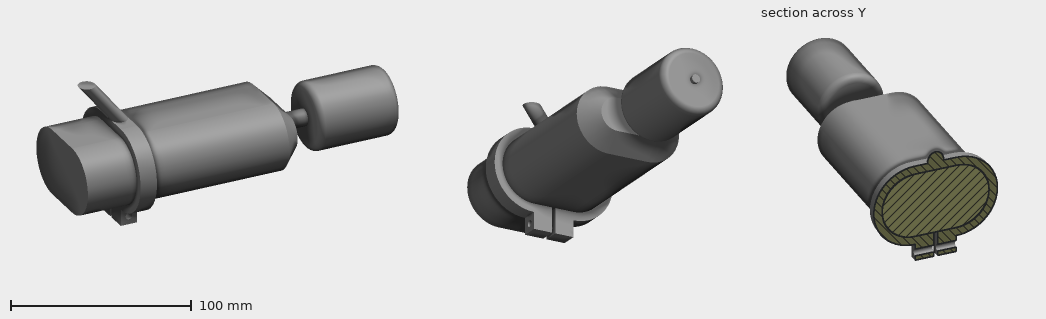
import cadquery as cq

flat_width = 25.0
grip_radius = 20.0
grip_length = 134.2
grip_chamfer = 10.0

rod_diameter = 10.0
rod_length = 15.0
knob_diameter = 2 * grip_radius
knob_length = 50.0
knob_fillet = 4.0
tip_diameter = 5.0
total_length = 201.5
tip_length = total_length - grip_length - rod_length - knob_length

clamp_radius = 25.0
clamp_front = 30.0
clamp_depth = 10.0
clamp_middle = clamp_front + clamp_depth / 2
lug_drop = 10.0
lug_gap = 2.0
lug_hole_diameter = 4.0
post_diameter = clamp_depth
post_height = 25.0
post_lean = 20.0


def obround(radius, start, length):
    """Extrude an obround section toward +Y."""
    return (
        cq.Workplane("XZ", origin=(0, start, 0))
        .slot2D(flat_width + 2 * radius, 2 * radius)
        .extrude(-length)
    )


def cylinder(diameter, start, length):
    """Cylinder on the Y axis running toward +Y."""
    return cq.Workplane("XZ", origin=(0, start, 0)).circle(diameter / 2).extrude(-length)


def make_handle():
    """Grip, rod, knob and tip in one solid."""
    knob_start = grip_length + rod_length
    grip = obround(grip_radius, 0, grip_length).faces(">Y").chamfer(grip_chamfer)
    rod = cylinder(rod_diameter, grip_length, rod_length)
    knob = cylinder(knob_diameter, knob_start, knob_length).edges("%CIRCLE").fillet(knob_fillet)
    tip = cylinder(tip_diameter, knob_start + knob_length, tip_length)
    return grip.union(rod).union(knob).union(tip)


def make_post():
    """Post with circular horizontal sections, leaning toward the front."""
    return (
        cq.Workplane("XY", origin=(0, clamp_middle, clamp_radius))
        .circle(post_diameter / 2)
        .workplane(offset=post_height)
        .center(0, -post_lean)
        .circle(post_diameter / 2)
        .loft(ruled=True)
    )


def make_clamp():
    """Split band with pierced lugs below and the post on top."""
    lug_height = clamp_radius + lug_drop
    lug_middle = -clamp_radius - lug_drop / 2
    band = obround(clamp_radius, clamp_front, clamp_depth)
    lugs = cq.Workplane("XY").box(flat_width, clamp_depth, lug_height)
    lugs = lugs.translate((0, clamp_middle, -lug_height / 2))
    bore = obround(grip_radius, clamp_front, clamp_depth)
    split = cq.Workplane("XY").box(lug_gap, clamp_depth, lug_height)
    split = split.translate((0, clamp_middle, -lug_height / 2))
    lug_hole = (
        cq.Workplane("YZ")
        .center(clamp_middle, lug_middle)
        .circle(lug_hole_diameter / 2)
        .extrude(flat_width, both=True)
    )
    return band.union(lugs).cut(bore).cut(split).cut(lug_hole).union(make_post())


handle = make_handle()
clamp = make_clamp()

result = cq.Compound.makeCompound([handle.solids().val(), clamp.solids().val()])